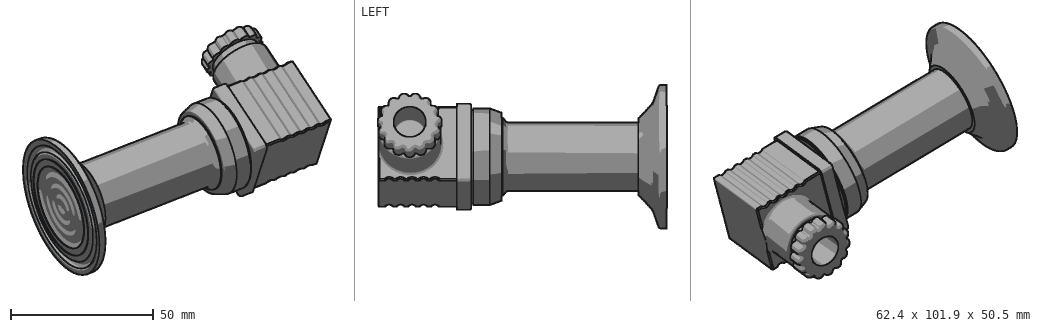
import cadquery as cq
import math


flange_radius = 50.5 / 2
flange_face_y = 0.25
rim_height = 3.0
rim_fillet = 1.0
flange_knee_radius = 18.9
flange_knee_y = 5.2
flange_knee_fillet = 2.5
flange_neck_radius = 27.0 / 2
flange_top_y = 10.2

seal_groove_radius = 21.7
seal_groove_half_width = 1.2
seal_lip_half_width = 1.9
seal_lip_depth = 0.3
seal_groove_depth = 1.5

pad_radius = 36.0 / 2
diaphragm_radius = 15.3
diaphragm_edge_depth = 0.2
wave_level_y = 0.6
wave_count = 5
wave_outer_radius = 11.9
wave_pitch = wave_outer_radius / (wave_count + 1)
wave_height = 0.2
outer_trough_radius = 13.2
outer_trough_depth = 0.9
center_flat_radius = 0.97
center_flat_depth = 0.8

tube_radius = 24.2 / 2
tube_end_y = 56.5
flare_radius = 13.8
head_start_y = 58.3
flare_step = 0.4
tube_root_fillet = 0.8
head_rim_fillet = 0.3
head_start_radius = 15.5
head_radius = 34.0 / 2
head_cone_end_y = 62.5
head_end_y = 68.3
head_gap = 0.6
head_gap_radius = 16.5

plug_turn = 20
collar_start_y = head_end_y + head_gap
collar_end_y = 74.0
collar_width = 30.0
collar_corner_radius = 1.7
collar_edge_fillet = 0.8

plug_width = 27.7
plug_end_y = 101.6
plug_chamfer = 0.5
grip_count = 5
grip_first_y = 81.7
grip_last_y = 97.8
grip_pitch = (grip_last_y - grip_first_y) / (grip_count - 1)
grip_radius = 1.6
grip_depth = 0.76
grip_mouth_fillet = 0.6

gland_y = 90.6
gland_radius = 21.9 / 2
gland_end = 27.8
gland_end_fillet = 1.0
gland_base_fillet = 1.1
gland_neck_radius = 18.0 / 2
nut_start = 30.7
nut_end = 35.9
nut_rounding = 1.8
lobe_count = 15
lobe_radius = 1.9
nut_radius = 22.7 / 2
lobe_circle_radius = nut_radius - lobe_radius
valley_radius = 0.5
cable_bore_radius = 11.3 / 2
cable_bore_depth = 13.5
bore_floor_fillet = 0.3


def is_ring(edge, radius, y):
    """Tell whether an edge is the circle of this radius about Y at height y."""
    tolerance = 0.001
    if edge.geomType() != "CIRCLE":
        return False
    return abs(edge.radius() - radius) < tolerance and abs(edge.Center().y - y) < tolerance


def make_sensor():
    """Revolve the diaphragm, clamp flange, tube and round head about Y."""
    lip_depth_y = flange_face_y + seal_lip_depth
    bend_depth_y = flange_face_y + seal_lip_depth / 4
    bend_half_width = (seal_lip_half_width + seal_groove_half_width) / 2

    profile = cq.Workplane("XY").moveTo(0, center_flat_depth).lineTo(center_flat_radius, center_flat_depth)

    radius = wave_pitch
    profile = profile.lineTo(radius, wave_level_y)
    for index in range(wave_count):
        side = -1 if index % 2 == 0 else 1
        middle = (radius + wave_pitch / 2, wave_level_y + side * wave_height)
        radius += wave_pitch
        profile = profile.threePointArc(middle, (radius, wave_level_y))
    profile = profile.threePointArc(
        (outer_trough_radius, outer_trough_depth), (diaphragm_radius, diaphragm_edge_depth)
    )

    profile = (
        profile.lineTo(diaphragm_radius, 0)
        .lineTo(pad_radius, 0)
        .lineTo(pad_radius, flange_face_y)
        .lineTo(seal_groove_radius - seal_lip_half_width, flange_face_y)
        .threePointArc(
            (seal_groove_radius - bend_half_width, bend_depth_y),
            (seal_groove_radius - seal_groove_half_width, lip_depth_y),
        )
        .threePointArc(
            (seal_groove_radius, flange_face_y + seal_groove_depth),
            (seal_groove_radius + seal_groove_half_width, lip_depth_y),
        )
        .threePointArc(
            (seal_groove_radius + bend_half_width, bend_depth_y),
            (seal_groove_radius + seal_lip_half_width, flange_face_y),
        )
    )

    profile = (
        profile.lineTo(flange_radius, flange_face_y)
        .lineTo(flange_radius, rim_height)
        .lineTo(flange_knee_radius, flange_knee_y)
        .lineTo(flange_neck_radius, flange_top_y)
        .lineTo(tube_radius, flange_top_y)
        .lineTo(tube_radius, tube_end_y)
        .lineTo(flare_radius, head_start_y - flare_step)
        .lineTo(flare_radius, head_start_y)
        .lineTo(head_start_radius, head_start_y)
        .lineTo(head_radius, head_cone_end_y)
        .lineTo(head_radius, head_end_y)
        .lineTo(head_gap_radius, head_end_y)
        .lineTo(head_gap_radius, collar_start_y)
        .lineTo(0, collar_start_y)
        .close()
    )
    sensor = profile.revolve(360, (0, 0, 0), (0, 1, 0))

    rounded_edges = [
        (flange_radius, rim_height, rim_fillet),
        (flange_knee_radius, flange_knee_y, flange_knee_fillet),
        (tube_radius, tube_end_y, tube_root_fillet),
        (head_start_radius, head_start_y, head_rim_fillet),
    ]
    for radius, y, fillet in rounded_edges:
        ring = [edge for edge in sensor.edges().vals() if is_ring(edge, radius, y)]
        sensor = sensor.newObject(ring).fillet(fillet)
    return sensor


def make_collar():
    """Rounded square plate between the round head and the plug."""
    length = collar_end_y - collar_start_y
    return (
        cq.Workplane("XZ", origin=(0, collar_start_y, 0))
        .rect(collar_width, collar_width)
        .extrude(-length)
        .edges("|Y")
        .fillet(collar_corner_radius)
        .faces("<Y")
        .edges()
        .fillet(collar_edge_fillet)
    )


def make_plug():
    """Square block with finger grips across its +Z and -Z sides."""
    half = plug_width / 2
    axis_height = half + grip_radius - grip_depth
    centers = [
        (grip_first_y + index * grip_pitch, side * axis_height)
        for index in range(grip_count)
        for side in (-1, 1)
    ]
    block = cq.Workplane("XY").box(
        plug_width, plug_end_y - collar_end_y, plug_width, centered=(True, False, True)
    ).translate((0, collar_end_y, 0))
    grips = cq.Workplane("YZ").pushPoints(centers).circle(grip_radius).extrude(half, both=True)
    return (
        block.cut(grips)
        .faces("<X or >X")
        .edges("not <Y")
        .chamfer(plug_chamfer)
        .edges("|X")
        .edges("not <Y")
        .fillet(grip_mouth_fillet)
    )


def polar(radius, angle):
    """Point at this radius and angle, in radians, in a sketch plane."""
    return (radius * math.cos(angle), radius * math.sin(angle))


def nut_outline(plane):
    """Closed ring of convex lobes joined by tangent concave valleys."""
    half_pitch = math.pi / lobe_count
    lobe_offset = lobe_circle_radius * math.sin(half_pitch)
    center_distance = lobe_radius + valley_radius
    valley_circle_radius = lobe_circle_radius * math.cos(half_pitch) + math.sqrt(
        center_distance**2 - lobe_offset**2
    )

    share = lobe_radius / center_distance
    meet_x = lobe_circle_radius + share * (valley_circle_radius * math.cos(half_pitch) - lobe_circle_radius)
    meet_y = share * valley_circle_radius * math.sin(half_pitch)
    meet_radius = math.hypot(meet_x, meet_y)
    meet_angle = math.atan2(meet_y, meet_x)

    first_lobe = -math.pi / 2
    outline = plane.moveTo(*polar(meet_radius, first_lobe - meet_angle))
    for index in range(lobe_count):
        lobe = first_lobe + 2 * half_pitch * index
        valley = lobe + half_pitch
        next_lobe = valley + half_pitch
        outline = outline.threePointArc(
            polar(nut_radius, lobe), polar(meet_radius, lobe + meet_angle)
        ).threePointArc(
            polar(valley_circle_radius - valley_radius, valley), polar(meet_radius, next_lobe - meet_angle)
        )
    return outline.close()


def make_gland():
    """Cable gland pointing to -X, ending in a lobed nut with a blind bore."""
    half = plug_width / 2
    corner = 1 - math.sqrt(0.5)
    base_bend = gland_base_fillet * corner
    end_bend = gland_end_fillet * corner

    barrel = (
        cq.Workplane("XY")
        .moveTo(0, 0)
        .lineTo(0, gland_radius + gland_base_fillet)
        .lineTo(-half, gland_radius + gland_base_fillet)
        .threePointArc(
            (-half - base_bend, gland_radius + base_bend), (-half - gland_base_fillet, gland_radius)
        )
        .lineTo(-gland_end + gland_end_fillet, gland_radius)
        .threePointArc(
            (-gland_end + end_bend, gland_radius - end_bend), (-gland_end, gland_radius - gland_end_fillet)
        )
        .lineTo(-gland_end, gland_neck_radius)
        .lineTo(-nut_start, gland_neck_radius)
        .lineTo(-nut_start, 0)
        .close()
        .revolve(360, (0, 0, 0), (1, 0, 0))
        .translate((0, gland_y, 0))
    )
    trim = cq.Workplane("XY").box(
        2 * nut_end, gland_radius, 4 * gland_radius, centered=(True, False, True)
    ).translate((0, plug_end_y, 0))

    nut = (
        nut_outline(cq.Workplane("YZ", origin=(-nut_start, gland_y, 0)))
        .extrude(nut_start - nut_end)
        .faces("<X")
        .edges()
        .fillet(nut_rounding)
    )
    bore = (
        cq.Workplane("YZ", origin=(-nut_end, gland_y, 0))
        .circle(cable_bore_radius)
        .extrude(cable_bore_depth)
        .faces(">X")
        .edges()
        .fillet(bore_floor_fillet)
    )
    return barrel.cut(trim).union(nut).cut(bore)


connector = make_plug().union(make_collar()).union(make_gland())
result = make_sensor().union(connector.rotate((0, 0, 0), (0, 1, 0), plug_turn))